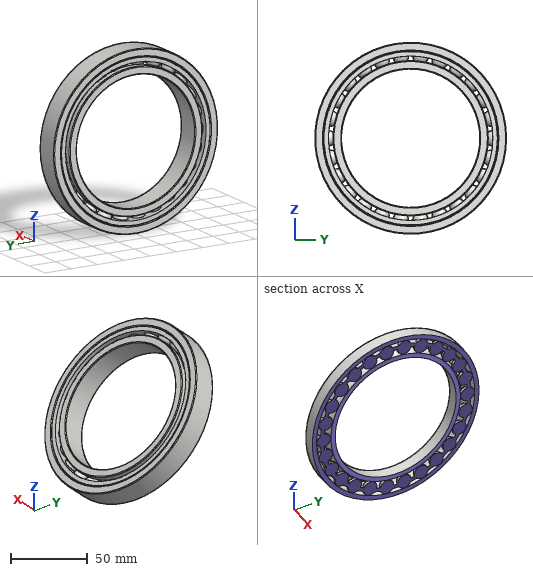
import cadquery as cq

bore_radius = 45.0
outer_radius = 62.5
width = 18.0
ring_chamfer = 0.6

pitch_radius = (bore_radius + outer_radius) / 2
ball_count = 26
ball_radius = 5.15
inner_land_radius = 50.6
outer_land_radius = 2 * pitch_radius - inner_land_radius

cage_inner_radius = 53.5
cage_outer_radius = 56.5
cage_width = 17.5


def tube(inner, outer, length):
    """Ring around the X axis, centred on the YZ plane."""
    start = cq.Workplane("YZ").workplane(offset=-length / 2)
    return start.circle(outer).circle(inner).extrude(length)


def raceway():
    """Torus swept by the balls around the X axis."""
    return cq.Workplane("XY").center(0, pitch_radius).circle(ball_radius).revolve(
        360, (0, -pitch_radius, 0), (1, -pitch_radius, 0))


def bearing_ring(inner, outer):
    """Ring with chamfered face edges and a ball groove."""
    return tube(inner, outer, width).faces("<X or >X").edges().chamfer(ring_chamfer).cut(raceway())


def ball(index):
    """One ball on the pitch circle."""
    angle = 360 * index / ball_count
    start = cq.Workplane("YZ").sphere(ball_radius).translate((0, -pitch_radius, 0))
    return start.rotate((0, 0, 0), (1, 0, 0), angle)


def caged_balls():
    """Cage ring and the full set of balls held in it, as one body."""
    body = tube(cage_inner_radius, cage_outer_radius, cage_width)
    for index in range(ball_count):
        body = body.union(ball(index))
    return body


inner_ring = bearing_ring(bore_radius, inner_land_radius)
outer_ring = bearing_ring(outer_land_radius, outer_radius)
ball_cage = caged_balls()

result = cq.Compound.makeCompound([body.solids().val() for body in (inner_ring, outer_ring, ball_cage)])